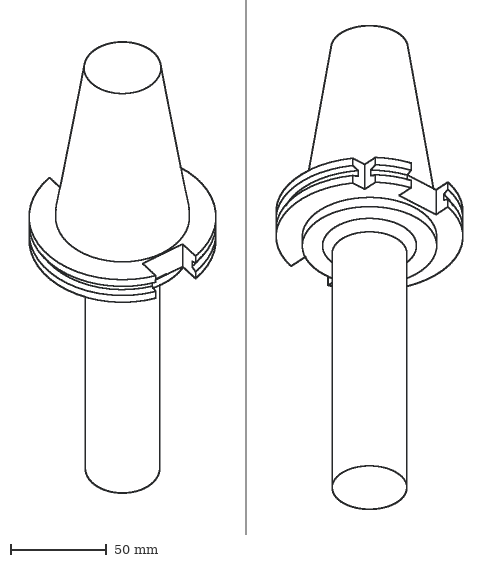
import cadquery as cq
import math

gauge_diameter = 69.85
taper_length = 101.75
taper_ratio = 7 / 24
small_end_diameter = gauge_diameter - taper_ratio * taper_length

flange_diameter = 97.5
flange_top = -3.2
flange_thickness = 15.9
flange_bottom = flange_top - flange_thickness

groove_center = -11.1
groove_floor_diameter = 91.5
groove_floor_width = 3.6
groove_flank_angle = 25
groove_depth = (flange_diameter - groove_floor_diameter) / 2
groove_mouth_width = groove_floor_width + 2 * groove_depth * math.tan(math.radians(groove_flank_angle))

collar_diameter = 70.1
collar_bottom = -25.0
cone_top_diameter = 49.0
shank_diameter = 39.0
cone_bottom = collar_bottom - (cone_top_diameter - shank_diameter) / 2
shank_bottom = -180.0

slot_width = 25.7
slot_floor_left = 37.7
slot_floor_right = 35.5

notch_offset = 30.0


def make_body():
    """Revolve the half profile of taper, flange, collar and shank about Z."""
    profile = [
        (0, shank_bottom),
        (shank_diameter / 2, shank_bottom),
        (shank_diameter / 2, cone_bottom),
        (cone_top_diameter / 2, collar_bottom),
        (collar_diameter / 2, collar_bottom),
        (collar_diameter / 2, flange_bottom),
        (flange_diameter / 2, flange_bottom),
        (flange_diameter / 2, groove_center - groove_mouth_width / 2),
        (groove_floor_diameter / 2, groove_center - groove_floor_width / 2),
        (groove_floor_diameter / 2, groove_center + groove_floor_width / 2),
        (flange_diameter / 2, groove_center + groove_mouth_width / 2),
        (flange_diameter / 2, flange_top),
        (gauge_diameter / 2, flange_top),
        (gauge_diameter / 2, 0),
        (small_end_diameter / 2, taper_length),
        (0, taper_length),
    ]
    return cq.Workplane("XZ").polyline(profile).close().revolve(360, (0, 0), (0, 1))


def flange_cutter(x_start, x_end, y_start, y_end):
    """Box spanning the flange thickness between the given X and Y limits."""
    return (
        cq.Workplane("XY")
        .workplane(offset=flange_bottom)
        .center((x_start + x_end) / 2, (y_start + y_end) / 2)
        .rect(x_end - x_start, y_end - y_start)
        .extrude(flange_thickness)
    )


def cut_drive_slots(body):
    left_slot = flange_cutter(-flange_diameter, -slot_floor_left, -slot_width / 2, slot_width / 2)
    right_slot = flange_cutter(slot_floor_right, flange_diameter, -slot_width / 2, slot_width / 2)
    return body.cut(left_slot).cut(right_slot)


def cut_orientation_notch(body):
    return body.cut(flange_cutter(-flange_diameter, -notch_offset, notch_offset, flange_diameter))


result = cut_orientation_notch(cut_drive_slots(make_body()))